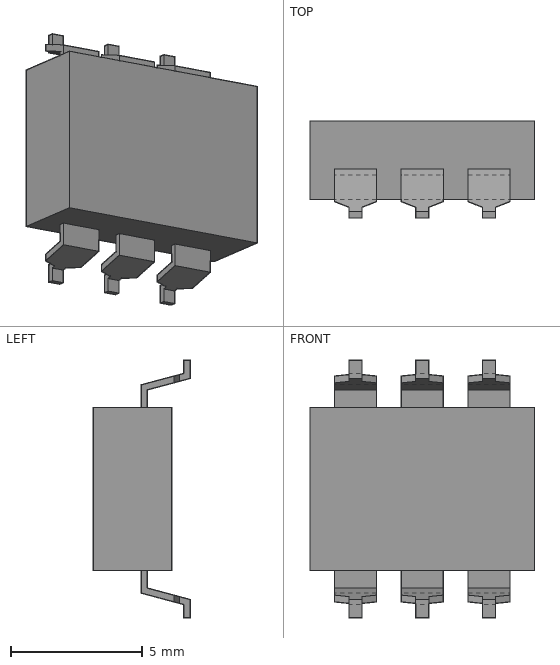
import cadquery as cq
import math

BODY_WIDTH = 8.56
BODY_DEPTH = 3.0
BODY_HEIGHT = 6.21

TOTAL_HEIGHT = 9.8
LEAD_COUNT = 3
LEAD_PITCH = 2.54
LEAD_WIDTH = 1.61
FOOT_WIDTH = 0.5
STEM_THICKNESS = 0.24
FOOT_THICKNESS = 0.25
FOOT_OVERHANG = 0.71
FOOT_LENGTH = 0.7
STEM_BACK_OFFSET = 1.87
ARM_ANGLE = 15.0
TAPER_START = 0.63
TAPER_END = 0.41
EMBED = 0.2

foot_front = -BODY_DEPTH / 2 - FOOT_OVERHANG
foot_back = foot_front + FOOT_THICKNESS
stem_back = foot_front + STEM_BACK_OFFSET
stem_front = stem_back - STEM_THICKNESS
body_top = BODY_HEIGHT / 2
lead_top = TOTAL_HEIGHT / 2
stem_root = body_top - EMBED
arm_slope = math.tan(math.radians(ARM_ANGLE))
arm_start_z = lead_top - FOOT_LENGTH
arm_rise = FOOT_THICKNESS / math.cos(math.radians(ARM_ANGLE))


def arm_underside(y):
    """Height of the lower face of the sloping arm at depth y."""
    return arm_start_z - arm_slope * (y - foot_front)


def arm_topside(y):
    """Height of the upper face of the sloping arm at depth y."""
    return arm_underside(y) + arm_rise


def make_bent_strip():
    """Full-width strip bent from stem through sloping arm to foot."""
    profile = [
        (stem_back, stem_root),
        (stem_back, arm_topside(stem_back)),
        (foot_back, arm_topside(foot_back)),
        (foot_back, lead_top),
        (foot_front, lead_top),
        (foot_front, arm_start_z),
        (stem_front, arm_underside(stem_front)),
        (stem_front, stem_root),
    ]
    return cq.Workplane("YZ").polyline(profile).close().extrude(LEAD_WIDTH / 2, both=True)


def make_plan_prism():
    """Upright prism with the plan outline of a lead: wide, tapered, then narrow."""
    taper_start = foot_front + TAPER_START
    taper_end = foot_front + TAPER_END
    half_lead = LEAD_WIDTH / 2
    half_foot = FOOT_WIDTH / 2
    outline = [
        (-half_lead, stem_back),
        (-half_lead, taper_start),
        (-half_foot, taper_end),
        (-half_foot, foot_front),
        (half_foot, foot_front),
        (half_foot, taper_end),
        (half_lead, taper_start),
        (half_lead, stem_back),
    ]
    return cq.Workplane("XY").polyline(outline).close().extrude(lead_top)


body = cq.Workplane("XY").box(BODY_WIDTH, BODY_DEPTH, BODY_HEIGHT)
upper_lead = make_bent_strip().intersect(make_plan_prism())
lower_lead = upper_lead.mirror("XY")

result = body
for index in range(LEAD_COUNT):
    lead_x = (index - (LEAD_COUNT - 1) / 2) * LEAD_PITCH
    for lead in (upper_lead, lower_lead):
        result = result.union(lead.translate((lead_x, 0, 0)))